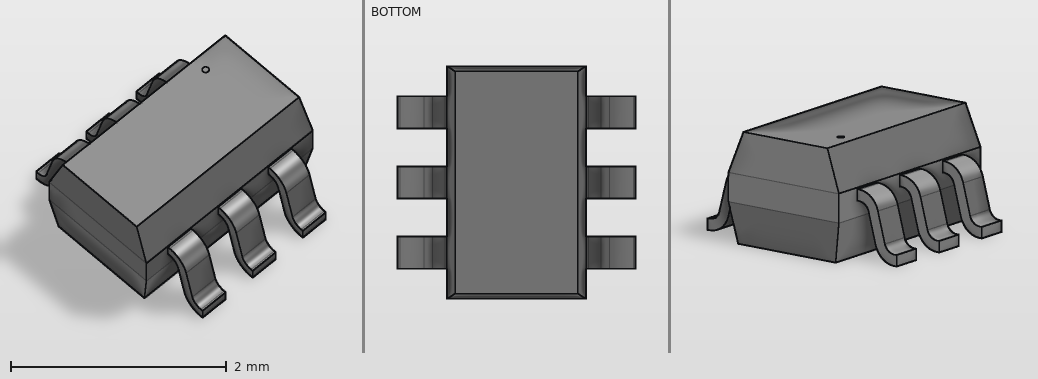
import cadquery as cq
import math


overall_width = 2.21
body_length = 2.16
body_height = 1.09

body_width = 1.29
band_height = 0.28
top_inset_x = 0.155
top_inset_y = 0.027
bottom_inset_x = 0.075
bottom_inset_y = 0.049
taper_height = (body_height - band_height) / 2
band_bottom = taper_height
band_top = band_bottom + band_height

lead_pitch = 0.65
leads_per_side = 3
lead_width = 0.3
lead_thickness = 0.11
lead_top = 0.67
bend_inner_radius = 0.117
bend_outer_radius = bend_inner_radius + lead_thickness
bend_angle = 75.0
foot_flat = 0.025
lead_tip_x = overall_width / 2
lead_root_x = body_width / 2

marker_diameter = 0.065
marker_depth = 0.022
marker_x = -0.338
marker_y = lead_pitch * (leads_per_side - 1) / 2


def make_tapered_block(start_z, end_z, start_inset, end_inset):
    """Block between two rectangles, each set in from the band outline by an (x, y) inset."""
    return (
        cq.Workplane("XY", origin=(0, 0, start_z))
        .rect(body_width - 2 * start_inset[0], body_length - 2 * start_inset[1])
        .workplane(offset=end_z - start_z)
        .rect(body_width - 2 * end_inset[0], body_length - 2 * end_inset[1])
        .loft(ruled=True)
    )


def make_marker():
    """Flush disc that marks pin 1."""
    return (
        cq.Workplane("XY", origin=(marker_x, marker_y, body_height - marker_depth))
        .circle(marker_diameter / 2)
        .extrude(marker_depth)
    )


def make_body():
    """Moulded body with a recess that fits the pin 1 marker."""
    no_inset = (0, 0)
    lower = make_tapered_block(0, band_bottom, (bottom_inset_x, bottom_inset_y), no_inset)
    band = make_tapered_block(band_bottom, band_top, no_inset, no_inset)
    upper = make_tapered_block(band_top, body_height, no_inset, (top_inset_x, top_inset_y))
    return lower.union(band).union(upper).cut(make_marker())


def arc_point(center, radius, angle):
    """Point (x, z) on a circle, with the angle in degrees from +X."""
    turn = math.radians(angle)
    return (center[0] + radius * math.cos(turn), center[1] + radius * math.sin(turn))


def make_lead(center_y):
    """Lead on the +X side, ending flat against the side wall of the body."""
    lower_center = (lead_tip_x - foot_flat, bend_outer_radius)

    slope = math.radians(bend_angle)
    bend_mean_radius = (bend_inner_radius + bend_outer_radius) / 2
    bend_rise = bend_mean_radius * (1 - math.cos(slope))
    shank_rise = lead_top - lead_thickness - 2 * bend_rise
    center_run = 2 * bend_mean_radius * math.sin(slope) + shank_rise / math.tan(slope)
    upper_center = (lower_center[0] - center_run, lead_top - bend_outer_radius)

    root_angle = 90.0
    upper_end_angle = root_angle - bend_angle
    upper_mid_angle = root_angle - bend_angle / 2
    foot_angle = 270.0
    lower_end_angle = foot_angle - bend_angle
    lower_mid_angle = foot_angle - bend_angle / 2

    return (
        cq.Workplane("XZ", origin=(0, center_y + lead_width / 2, 0))
        .moveTo(lead_root_x, lead_top)
        .lineTo(upper_center[0], lead_top)
        .threePointArc(
            arc_point(upper_center, bend_outer_radius, upper_mid_angle),
            arc_point(upper_center, bend_outer_radius, upper_end_angle),
        )
        .lineTo(*arc_point(lower_center, bend_inner_radius, lower_end_angle))
        .threePointArc(
            arc_point(lower_center, bend_inner_radius, lower_mid_angle),
            arc_point(lower_center, bend_inner_radius, foot_angle),
        )
        .lineTo(lead_tip_x, lead_thickness)
        .lineTo(lead_tip_x, 0)
        .lineTo(lower_center[0], 0)
        .threePointArc(
            arc_point(lower_center, bend_outer_radius, lower_mid_angle),
            arc_point(lower_center, bend_outer_radius, lower_end_angle),
        )
        .lineTo(*arc_point(upper_center, bend_inner_radius, upper_end_angle))
        .threePointArc(
            arc_point(upper_center, bend_inner_radius, upper_mid_angle),
            arc_point(upper_center, bend_inner_radius, root_angle),
        )
        .lineTo(lead_root_x, lead_top - lead_thickness)
        .close()
        .extrude(lead_width)
    )


body = make_body()
marker = make_marker()

leads = []
for row in range(leads_per_side):
    right_lead = make_lead((row - (leads_per_side - 1) / 2) * lead_pitch)
    left_lead = right_lead.mirror("YZ")
    leads += [right_lead.val(), left_lead.val()]

result = cq.Compound.makeCompound([body.val(), marker.val(), *leads])